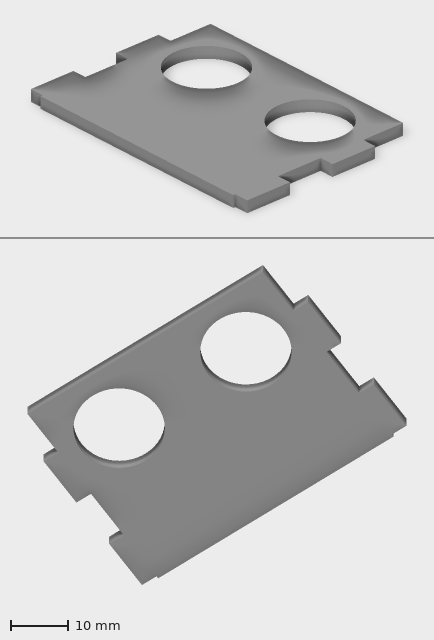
import cadquery as cq

overall_width = 56.0
plate_depth = 40.0
thickness = 2.5

tab_reach = 3.1
tab_length = 10.0
tab_pitch = 2 * tab_length
first_tab_offset = 0.5
tabs_per_side = 2

hole_diameter = 15.9
hole_spacing = 26.8
hole_to_back_edge = 11.4

body_width = overall_width - 2 * tab_reach
front_edge = -plate_depth / 2
hole_y = plate_depth / 2 - hole_to_back_edge


def tab_pair(index):
    """Bar across the full width whose ends form a pair of opposite tabs."""
    center_y = front_edge + first_tab_offset + tab_length / 2 + index * tab_pitch
    return (
        cq.Workplane("XY")
        .center(0, center_y)
        .rect(overall_width, tab_length)
        .extrude(thickness)
    )


plate = cq.Workplane("XY").rect(body_width, plate_depth).extrude(thickness)
for tab_index in range(tabs_per_side):
    plate = plate.union(tab_pair(tab_index))

holes = (
    cq.Workplane("XY")
    .pushPoints([(-hole_spacing / 2, hole_y), (hole_spacing / 2, hole_y)])
    .circle(hole_diameter / 2)
    .extrude(thickness)
)

result = plate.cut(holes).clean()